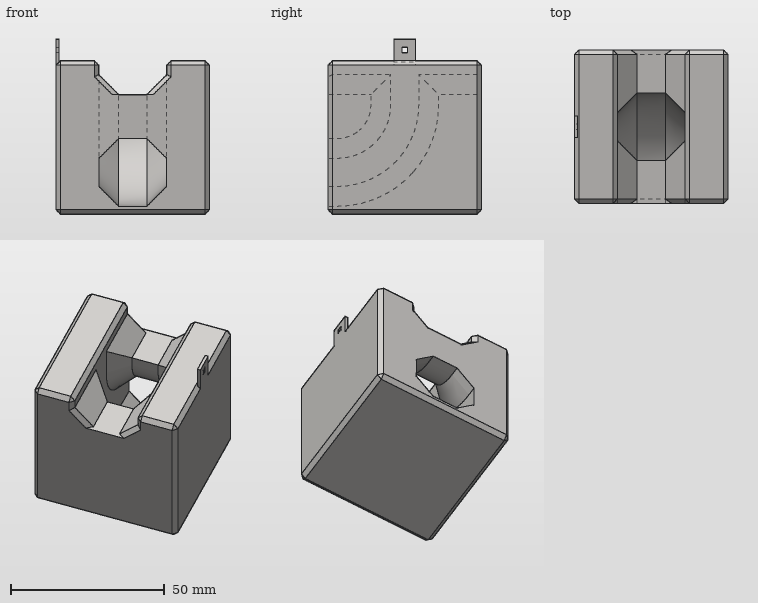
import cadquery as cq
import math

block_size = 50.0
total_height = 57.0
chamfer = 1.5

passage_width = 22.05
passage_apothem = passage_width / 2
half_side = passage_apothem * math.tan(math.pi / 8)

tunnel_height = 13.6
bend_radius = 21.95

tab_thickness = 1.0
tab_width = 7.0
tab_hole = 1.7

half_block = block_size / 2
floor_height = block_size - passage_apothem


def make_base():
    """Lower part of the block, up to the channel floor."""
    base = cq.Workplane("XY").box(block_size, block_size, floor_height, centered=(True, True, False))
    return base.edges("|Z or <Z").chamfer(chamfer)


def make_cheek():
    """Left wall of the channel; its slope runs on below the floor, into the base."""
    root_depth = 3 * chamfer
    root_height = floor_height - root_depth
    cheek = (
        cq.Workplane("XZ", origin=(0, half_block, 0))
        .moveTo(-half_block, root_height)
        .lineTo(-half_block, block_size)
        .lineTo(-passage_apothem, block_size)
        .lineTo(-passage_apothem, block_size - half_side)
        .lineTo(-half_side + root_depth, root_height)
        .close()
        .extrude(block_size)
    )
    end_edges = cheek.faces("<Y or >Y").edges("not <Z")
    top_edges = cheek.faces(">Z").edges("|Y")
    return cheek.newObject(end_edges.vals() + top_edges.vals()).chamfer(chamfer)


def octagon(workplane):
    """Regular octagon with flats parallel to the workplane axes."""
    across_corners = passage_width / math.cos(math.pi / 8)
    return workplane.transformed(rotate=(0, 0, 22.5)).polygon(8, across_corners)


def make_tunnel():
    """Octagonal elbow: in from the front, a quarter bend, then up into the channel."""
    bend_start_y = -bend_radius
    bend_top = tunnel_height + bend_radius
    entry = octagon(cq.Workplane("XZ", origin=(0, -half_block, tunnel_height))).extrude(
        -(half_block + bend_start_y)
    )
    path = (
        cq.Workplane("YZ")
        .moveTo(bend_start_y, tunnel_height)
        .radiusArc((0, bend_top), -bend_radius)
    )
    bend = octagon(cq.Workplane("XZ", origin=(0, bend_start_y, tunnel_height))).sweep(path)
    riser = octagon(cq.Workplane("XY", origin=(0, 0, bend_top))).extrude(block_size - bend_top)
    return entry.union(bend).union(riser)


def make_tab():
    """Thin upright tab, flush with the -X face, with a square hole above the block."""
    tab_bottom = block_size - chamfer
    hole_height = (block_size + total_height) / 2
    tab = cq.Workplane("XY", origin=(-half_block, 0, tab_bottom)).box(
        tab_thickness, tab_width, total_height - tab_bottom, centered=(False, True, False)
    )
    hole = cq.Workplane("XY", origin=(-half_block, 0, hole_height)).box(
        2 * tab_thickness, tab_hole, tab_hole, centered=(False, True, True)
    )
    return tab.cut(hole)


left_cheek = make_cheek()
right_cheek = left_cheek.mirror("YZ")
block = make_base().union(left_cheek).union(right_cheek)
result = block.cut(make_tunnel()).union(make_tab())